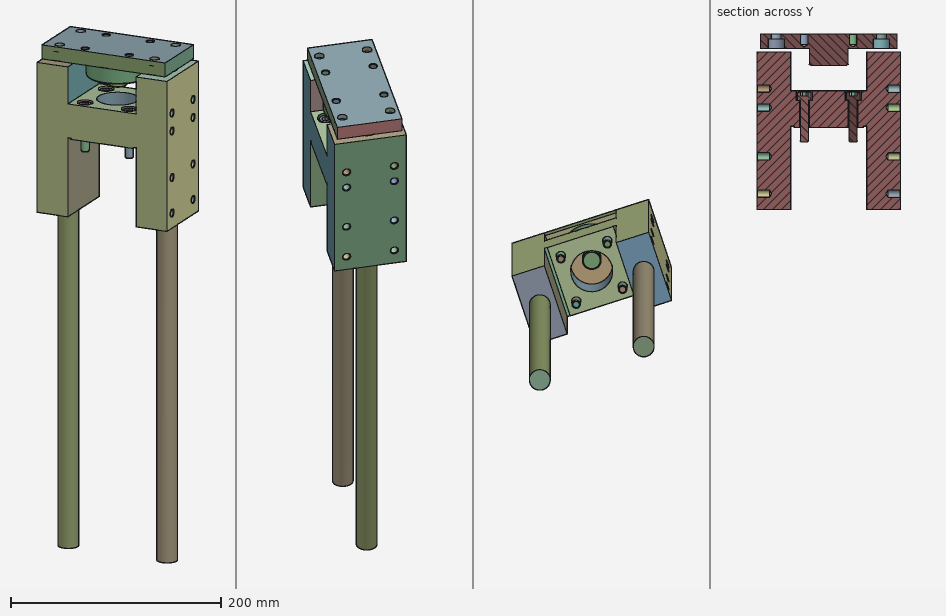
import cadquery as cq
import math

HOUSING_WIDTH = 137.0
HOUSING_DEPTH = 70.0
HOUSING_HEIGHT = 150.0
LEG_GAP = 72.0
UPPER_SLOT_DEPTH = 37.0
WEB_THICKNESS = 35.0
WEB_TOP = HOUSING_HEIGHT - UPPER_SLOT_DEPTH
WEB_BOTTOM = WEB_TOP - WEB_THICKNESS
RELIEF_WIDTH = 3.0
RELIEF_HEIGHT = 1.0
WEB_BORE_DIAMETER = 40.0

TAP_DIAMETER = 6.65
TAP_MOUTH_DIAMETER = 8.0
SIDE_TAP_DEPTH = 12.0
PLATE_TAP_DEPTH = 10.0
TIP_HEIGHT = TAP_DIAMETER / 2 * math.tan(math.radians(31))
BOLT_SPACING = 46.5
SIDE_HOLE_DROPS = (35.0, 53.0, 99.5, 135.0)

SCREW_DIAMETER = 8.0
SCREW_LENGTH = 40.0
SCREW_CHAMFER = 1.0
HEAD_DIAMETER = 13.0
HEAD_HEIGHT = 8.0
HEAD_CHAMFER = 0.8
SOCKET_FLATS = 6.0
SOCKET_DEPTH = 4.0
CLEARANCE_DIAMETER = 9.0
COUNTERBORE_DIAMETER = 15.0
COUNTERBORE_DEPTH = 9.0
HEAD_SEAT = WEB_TOP - COUNTERBORE_DEPTH

TOTAL_HEIGHT = 508.0
PLATE_WIDTH = 130.0
PLATE_DEPTH = 63.0
PLATE_THICKNESS = 14.0
PLATE_CLEARANCE = 3.0
PLATE_BOTTOM = HOUSING_HEIGHT + PLATE_CLEARANCE
PLATE_TOP = PLATE_BOTTOM + PLATE_THICKNESS
CORNER_HOLE_SPACING = 100.0
ROD_DIAMETER = 20.0
ROD_SPACING = 104.0
ROD_BOTTOM = PLATE_TOP - TOTAL_HEIGHT
COUPLING_DIAMETER = 60.0
COUPLING_HEIGHT = 16.0
COUPLING_CHAMFER = 1.0
STUD_DIAMETER = 18.0
STUD_LENGTH = 10.0
STUD_CHAMFER = 1.0


def box(width, depth, bottom, top):
    """Block centred on the Z axis, between two heights."""
    block = cq.Workplane("XY").workplane(offset=bottom)
    return block.rect(width, depth).extrude(top - bottom)


def cylinder(diameter, bottom, top):
    """Upright cylinder on the Z axis, between two heights."""
    return cq.Workplane("XY").workplane(offset=bottom).circle(diameter / 2).extrude(top - bottom)


def grid(spacing_x, spacing_y):
    """Four points of a rectangle centred on the Z axis."""
    return [(sx * spacing_x / 2, sy * spacing_y / 2) for sx in (-1, 1) for sy in (-1, 1)]


def tapped_hole(mouth, direction, depth):
    """Cutter for a core hole whose mouth is countersunk at 45 degrees."""
    sink = (TAP_MOUTH_DIAMETER - TAP_DIAMETER) / 2
    core = cq.Solid.makeCylinder(TAP_DIAMETER / 2, depth, mouth, direction)
    cone = cq.Solid.makeCone(TAP_MOUTH_DIAMETER / 2, TAP_DIAMETER / 2, sink, mouth, direction)
    tip_start = mouth + direction * depth
    tip = cq.Solid.makeCone(TAP_DIAMETER / 2, 0, TIP_HEIGHT, tip_start, direction)
    return core.fuse(cone, tip)


def make_housing():
    housing = box(HOUSING_WIDTH, HOUSING_DEPTH, 0, HOUSING_HEIGHT)
    housing = housing.cut(box(LEG_GAP, HOUSING_DEPTH, WEB_TOP, HOUSING_HEIGHT))
    housing = housing.cut(box(LEG_GAP, HOUSING_DEPTH, 0, WEB_BOTTOM))

    relief = box(RELIEF_WIDTH, HOUSING_DEPTH, WEB_BOTTOM, WEB_BOTTOM + RELIEF_HEIGHT)
    for side in (-1, 1):
        housing = housing.cut(relief.translate((side * (LEG_GAP - RELIEF_WIDTH) / 2, 0, 0)))

    housing = housing.cut(cylinder(WEB_BORE_DIAMETER, WEB_BOTTOM, WEB_TOP))

    screw_hole = cylinder(CLEARANCE_DIAMETER, WEB_BOTTOM, WEB_TOP)
    screw_hole = screw_hole.union(cylinder(COUNTERBORE_DIAMETER, HEAD_SEAT, WEB_TOP))
    for x, y in grid(BOLT_SPACING, BOLT_SPACING):
        housing = housing.cut(screw_hole.translate((x, y, 0)))

    for side in (-1, 1):
        inward = cq.Vector(-side, 0, 0)
        for drop in SIDE_HOLE_DROPS:
            for y in (-BOLT_SPACING / 2, BOLT_SPACING / 2):
                mouth = cq.Vector(side * HOUSING_WIDTH / 2, y, HOUSING_HEIGHT - drop)
                housing = housing.cut(cq.Workplane(tapped_hole(mouth, inward, SIDE_TAP_DEPTH)))

    bore = cylinder(ROD_DIAMETER, 0, HOUSING_HEIGHT)
    for side in (-1, 1):
        housing = housing.cut(bore.translate((side * ROD_SPACING / 2, 0, 0)))
    return housing


def make_yoke():
    yoke = box(PLATE_WIDTH, PLATE_DEPTH, PLATE_BOTTOM, PLATE_TOP)

    corner_hole = cylinder(CLEARANCE_DIAMETER, PLATE_BOTTOM, PLATE_TOP)
    corner_recess = cylinder(COUNTERBORE_DIAMETER, PLATE_BOTTOM, PLATE_BOTTOM + COUNTERBORE_DEPTH)
    corner_hole = corner_hole.union(corner_recess)
    for x, y in grid(CORNER_HOLE_SPACING, BOLT_SPACING):
        yoke = yoke.cut(corner_hole.translate((x, y, 0)))
    down = cq.Vector(0, 0, -1)
    for x, y in grid(BOLT_SPACING, BOLT_SPACING):
        mouth = cq.Vector(x, y, PLATE_TOP)
        yoke = yoke.cut(cq.Workplane(tapped_hole(mouth, down, PLATE_TAP_DEPTH)))

    coupling_bottom = PLATE_BOTTOM - COUPLING_HEIGHT
    coupling = cylinder(COUPLING_DIAMETER, coupling_bottom, PLATE_BOTTOM)
    coupling = coupling.faces("<Z").chamfer(COUPLING_CHAMFER)
    stud = cylinder(STUD_DIAMETER, coupling_bottom - STUD_LENGTH, coupling_bottom)
    stud = stud.faces("<Z").chamfer(STUD_CHAMFER)
    yoke = yoke.union(coupling).union(stud)

    rod = cylinder(ROD_DIAMETER, ROD_BOTTOM, PLATE_BOTTOM)
    for side in (-1, 1):
        yoke = yoke.union(rod.translate((side * ROD_SPACING / 2, 0, 0)))
    return yoke


def make_screw(x, y):
    shank = cylinder(SCREW_DIAMETER, HEAD_SEAT - SCREW_LENGTH, HEAD_SEAT)
    shank = shank.faces("<Z").chamfer(SCREW_CHAMFER)
    head_top = HEAD_SEAT + HEAD_HEIGHT
    socket = cq.Workplane("XY").workplane(offset=head_top - SOCKET_DEPTH)
    socket = socket.polygon(6, SOCKET_FLATS / math.cos(math.pi / 6)).extrude(SOCKET_DEPTH)
    head = cylinder(HEAD_DIAMETER, HEAD_SEAT, head_top)
    head = head.faces(">Z").chamfer(HEAD_CHAMFER)
    screw = shank.union(head).cut(socket)
    return screw.translate((x, y, 0))


housing = make_housing()
yoke = make_yoke()
screws = [make_screw(x, y) for x, y in grid(BOLT_SPACING, BOLT_SPACING)]
result = cq.Compound.makeCompound([housing.val(), yoke.val(), *[screw.val() for screw in screws]])